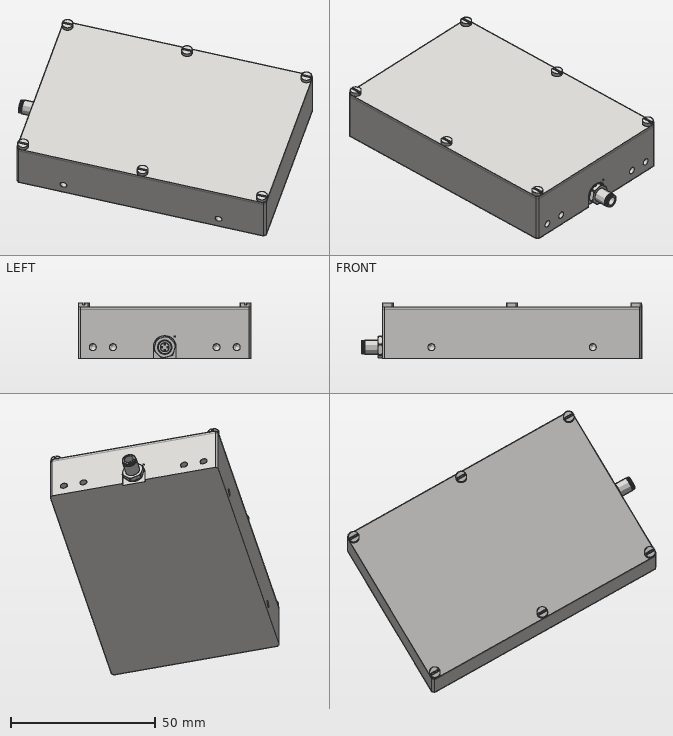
import cadquery as cq

total_length = 97.2
box_length = 90.0
box_width = 60.0
box_height = 18.0
lid_thickness = 1.0
corner_chamfer = 0.8

screw_diameter = 3.8
screw_head_height = 1.4
screw_slot_width = 0.6
screw_slot_depth = 0.7
screw_pitch_x = (box_length - screw_diameter) / 2
screw_pitch_y = box_width - screw_diameter

hole_diameter = 2.4
hole_depth = 6.0
drill_tip_depth = 0.7
hole_height = 4.0
front_hole_spacing = 56.0
end_hole_inner_spacing = 36.0
end_hole_outer_spacing = 50.0

connector_height = hole_height
connector_reach = total_length - box_length
body_diameter = 5.0
thread_root_diameter = 4.5
thread_crest_diameter = 4.7
thread_pitch = 0.4
thread_ridges = 3
bore_diameter = 3.1
bore_depth = 3.9
pin_diameter = 0.48
pin_circle_diameter = 1.9
pin_length = 1.5
pin_count = 4
key_width = 0.5
key_height = 0.8
nut_corner_diameter = 8.0
nut_round_diameter = 7.8
nut_reach = 1.6
nut_chamfer = 0.3
shank_diameter = 6.0
nut_turn = 15.0
pocket_width = 8.0
pocket_depth = 1.0
mark_diameter = 0.48
mark_depth = 0.5
mark_offset_y = -3.5
mark_offset_z = 3.7

end_x = -box_length / 2
front_y = -box_width / 2


def end_plane(x):
    """Plane facing -X at the given X, with its origin on the connector axis; local X is -Y."""
    return cq.Plane(origin=(x, 0, connector_height), xDir=(0, -1, 0), normal=(-1, 0, 0))


def make_housing():
    lower_height = box_height - lid_thickness
    lower = cq.Workplane("XY").box(box_length, box_width, lower_height, centered=(True, True, False))
    lid = (
        cq.Workplane("XY", origin=(0, 0, lower_height))
        .box(box_length, box_width, lid_thickness, centered=(True, True, False))
    )
    lower = lower.edges("|Z").chamfer(corner_chamfer)
    lid = lid.edges("|Z").chamfer(corner_chamfer)
    return lower.union(lid, clean=False)


def make_screw_head(x, y):
    head = (
        cq.Workplane("XY", origin=(x, y, box_height))
        .circle(screw_diameter / 2)
        .extrude(screw_head_height)
    )
    slot = (
        cq.Workplane("XY", origin=(x, y, box_height + screw_head_height))
        .rect(screw_diameter * 2, screw_slot_width)
        .extrude(-screw_slot_depth)
    )
    return head.cut(slot)


def make_drilled_hole(entry, direction):
    """Blind hole with a conical tip, as a solid to cut away."""
    radius = hole_diameter / 2
    point = cq.Vector(*entry)
    inward = cq.Vector(*direction)
    shaft = cq.Solid.makeCylinder(radius, hole_depth, point, inward)
    tip = cq.Solid.makeCone(radius, 0, drill_tip_depth, point + inward * hole_depth, inward)
    return cq.Workplane(shaft.fuse(tip))


def make_nut_pocket():
    """Round-topped recess around the nut, open at the bottom edge."""
    radius = pocket_width / 2
    return (
        cq.Workplane(end_plane(end_x))
        .moveTo(-radius, -connector_height)
        .lineTo(-radius, 0)
        .threePointArc((0, radius), (radius, 0))
        .lineTo(radius, -connector_height)
        .close()
        .extrude(-pocket_depth)
    )


def make_nut():
    """Hexagon nut with both rims rounded off, standing on a round shank in the recess."""
    plane = end_plane(end_x)
    hexagon = (
        cq.Workplane(plane)
        .transformed(rotate=(0, 0, nut_turn))
        .polygon(6, nut_corner_diameter)
        .extrude(nut_reach)
    )
    rounding = (
        cq.Workplane(plane)
        .circle(nut_round_diameter / 2)
        .extrude(nut_reach)
        .edges()
        .chamfer(nut_chamfer)
    )
    shank = cq.Workplane(plane).circle(shank_diameter / 2).extrude(-pocket_depth)
    return hexagon.intersect(rounding).union(shank)


def make_connector_body():
    """Round plug with a short ridged tip, bored out around its contact pins."""
    root = thread_root_diameter / 2
    crest = thread_crest_diameter / 2
    tip_x = end_x - connector_reach
    thread_length = thread_ridges * thread_pitch

    profile = cq.Workplane("XY", origin=(tip_x, 0, connector_height)).lineTo(0, root)
    for index in range(thread_ridges):
        start = index * thread_pitch
        profile = profile.lineTo(start + thread_pitch / 2, crest).lineTo(start + thread_pitch, root)
    body = (
        profile.lineTo(thread_length, body_diameter / 2)
        .lineTo(connector_reach, body_diameter / 2)
        .lineTo(connector_reach, 0)
        .close()
        .revolve(360, (0, 0, 0), (1, 0, 0))
    )

    bore = cq.Workplane(end_plane(tip_x)).circle(bore_diameter / 2).extrude(-bore_depth)
    pins = (
        cq.Workplane(end_plane(tip_x + bore_depth))
        .polarArray(pin_circle_diameter / 2, 0, 360, pin_count)
        .circle(pin_diameter / 2)
        .extrude(pin_length)
    )
    key = (
        cq.Workplane(end_plane(tip_x + bore_depth))
        .center(0, -bore_diameter / 2)
        .rect(key_width, key_height)
        .extrude(pin_length)
    )
    return body.cut(bore).union(pins).union(key)


result = make_housing()

for column in (-1, 0, 1):
    for row in (-0.5, 0.5):
        result = result.union(make_screw_head(column * screw_pitch_x, row * screw_pitch_y), clean=False)

for side in (-0.5, 0.5):
    result = result.cut(
        make_drilled_hole((side * front_hole_spacing, front_y, hole_height), (0, 1, 0)), clean=False
    )
    for spacing in (end_hole_inner_spacing, end_hole_outer_spacing):
        result = result.cut(
            make_drilled_hole((end_x, side * spacing, hole_height), (1, 0, 0)), clean=False
        )

orientation_mark = (
    cq.Workplane(end_plane(end_x))
    .center(-mark_offset_y, mark_offset_z)
    .circle(mark_diameter / 2)
    .extrude(-mark_depth)
)
result = result.cut(make_nut_pocket(), clean=False).cut(orientation_mark, clean=False)
result = result.union(make_nut(), clean=False).union(make_connector_body(), clean=False)